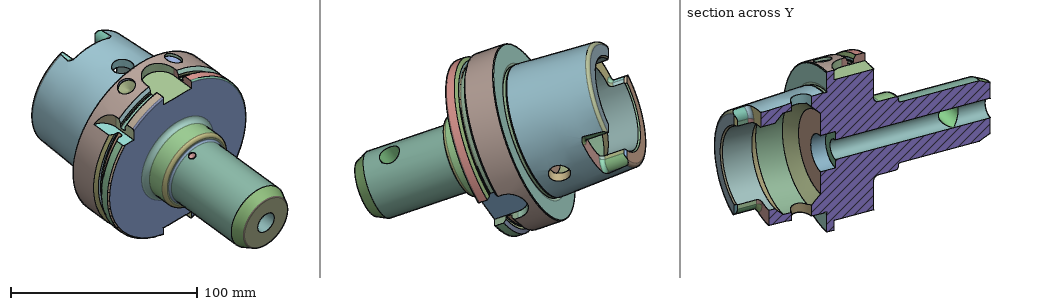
import cadquery as cq
import math

TOTAL_LENGTH = 150.0

FLANGE_START = TOTAL_LENGTH / 3
SHANK_MOUTH_RADIUS = 35.4
SHANK_BASE_RADIUS = 37.72
SHANK_TAPER_END = 48.0
MOUTH_OUTER_FILLET = 2.0

UNDERCUT_START = 48.8
UNDERCUT_RADIUS = 37.4
UNDERCUT_FACE_RADIUS = 38.8
UNDERCUT_FACE_DEPTH = 0.5

FLANGE_RADIUS = 100.0 / 2
FLANGE_END = FLANGE_START + 29.0
FLANGE_FRONT_CHAMFER = 0.5
FLANGE_REAR_FILLET = 0.9
GROOVE_CENTER = 70.2
GROOVE_MOUTH_WIDTH = 6.3
GROOVE_FLOOR_WIDTH = 3.5
GROOVE_SHOULDER_RADIUS = 47.8
GROOVE_FLOOR_RADIUS = 45.9
GROOVE_FLOOR_FILLET = 0.5

COLLAR_RADIUS = 46.0 / 2
COLLAR_END = 94.0
COLLAR_ROOT_FILLET = 3.0
COLLAR_EDGE_FILLET = 2.0
NOSE_RADIUS = 38.1 / 2
NOSE_ROOT_FILLET = 1.0
NOSE_CONE_LENGTH = 6.8
NOSE_TIP_RADIUS = 15.9
NOSE_TIP_FILLET = 0.6

BORE_RADIUS = 53.0 / 2
BORE_MOUTH_CHAMFER = 0.9
BORE_END = 18.8
CLAMP_RADIUS = 63.0 / 2
CLAMP_SHOULDER_ANGLE = 45.0
BORE_FLOOR = 46.5
FLOOR_RADIUS = 25.0

COOLANT_RECESS_DIAMETER = 22.4
COOLANT_RECESS_DEPTH = 9.0
COOLANT_DIAMETER = 12.0

SLOT_HALF_WIDTH = 30.0 / 3
UPPER_SLOT_DEPTH = 30.0 / 3
LOWER_SLOT_DEPTH = 15.0
SLOT_FLOOR_FILLET = 2.2
SLOT_FLARE_RADIUS = 15.0 / 3
SLOT_FLARE_START = 27.3
SLOT_MOUTH_CHAMFER = 1.4

CROSS_HOLE_X = 35.0
CROSS_HOLE_DIAMETER = 12.0

KEYWAY_RADIUS = 30.0 / 3
KEYWAY_ARC_X = 64.8
KEYWAY_FLOOR = 44.0
NOTCH_WALL_Y = -31.6
NOTCH_FLOOR = 31.4

DIMPLE_X = 56.8
DIMPLE_DIAMETER = 10.0
DIMPLE_DEPTH = 1.8
DIMPLE_ANGLE = 20.0

CLAMP_SCREW_X = 127.5
CLAMP_SCREW_DIAMETER = 12.0
BALANCE_HOLE_X = 97.8
BALANCE_HOLE_DIAMETER = 4.0
BALANCE_HOLE_DEPTH = 0.6
BALANCE_HOLE_ANGLE = 20.0

DRILL_TIP_ANGLE = 118.0


def revolve_about_x(points):
    """Revolve a closed (x, radius) outline about the X axis."""
    return cq.Workplane("XY").polyline(points).close().revolve(360, (0, 0, 0), (1, 0, 0))


def circle_edges(body, x, radius):
    """Select the circular edge around the X axis at the given place."""
    tolerance = 0.02

    def matches(edge):
        if edge.geomType() != "CIRCLE":
            return False
        return abs(edge.Center().x - x) < tolerance and abs(edge.radius() - radius) < tolerance

    return body.edges().filter(matches)


def make_turned_body():
    tip_cone_start = TOTAL_LENGTH - NOSE_CONE_LENGTH
    body = revolve_about_x([
        (0, 0),
        (0, SHANK_MOUTH_RADIUS),
        (SHANK_TAPER_END, SHANK_BASE_RADIUS),
        (UNDERCUT_START, UNDERCUT_RADIUS),
        (FLANGE_START + UNDERCUT_FACE_DEPTH, UNDERCUT_RADIUS),
        (FLANGE_START, UNDERCUT_FACE_RADIUS),
        (FLANGE_START, FLANGE_RADIUS),
        (FLANGE_END, FLANGE_RADIUS),
        (FLANGE_END, COLLAR_RADIUS),
        (COLLAR_END, COLLAR_RADIUS),
        (COLLAR_END, NOSE_RADIUS),
        (tip_cone_start, NOSE_RADIUS),
        (TOTAL_LENGTH, NOSE_TIP_RADIUS),
        (TOTAL_LENGTH, 0),
    ])
    body = circle_edges(body, FLANGE_START, FLANGE_RADIUS).chamfer(FLANGE_FRONT_CHAMFER)
    rounded_edges = [
        (0, SHANK_MOUTH_RADIUS, MOUTH_OUTER_FILLET),
        (FLANGE_END, FLANGE_RADIUS, FLANGE_REAR_FILLET),
        (FLANGE_END, COLLAR_RADIUS, COLLAR_ROOT_FILLET),
        (COLLAR_END, COLLAR_RADIUS, COLLAR_EDGE_FILLET),
        (COLLAR_END, NOSE_RADIUS, NOSE_ROOT_FILLET),
        (TOTAL_LENGTH, NOSE_TIP_RADIUS, NOSE_TIP_FILLET),
    ]
    for x, radius, fillet in rounded_edges:
        body = circle_edges(body, x, radius).fillet(fillet)
    return body


def make_gripper_groove():
    half_mouth = GROOVE_MOUTH_WIDTH / 2
    half_floor = GROOVE_FLOOR_WIDTH / 2
    groove = revolve_about_x([
        (GROOVE_CENTER - half_mouth, FLANGE_RADIUS),
        (GROOVE_CENTER - half_floor, GROOVE_SHOULDER_RADIUS),
        (GROOVE_CENTER - half_floor, GROOVE_FLOOR_RADIUS),
        (GROOVE_CENTER + half_floor, GROOVE_FLOOR_RADIUS),
        (GROOVE_CENTER + half_floor, GROOVE_SHOULDER_RADIUS),
        (GROOVE_CENTER + half_mouth, FLANGE_RADIUS),
    ])
    for x in (GROOVE_CENTER - half_floor, GROOVE_CENTER + half_floor):
        groove = circle_edges(groove, x, GROOVE_FLOOR_RADIUS).fillet(GROOVE_FLOOR_FILLET)
    return groove


def make_bore():
    shoulder_length = (CLAMP_RADIUS - BORE_RADIUS) / math.tan(math.radians(CLAMP_SHOULDER_ANGLE))
    floor_bevel = CLAMP_RADIUS - FLOOR_RADIUS
    recess_end = BORE_FLOOR + COOLANT_RECESS_DEPTH
    return revolve_about_x([
        (0, 0),
        (0, BORE_RADIUS + BORE_MOUTH_CHAMFER),
        (BORE_MOUTH_CHAMFER, BORE_RADIUS),
        (BORE_END, BORE_RADIUS),
        (BORE_END + shoulder_length, CLAMP_RADIUS),
        (BORE_FLOOR - floor_bevel, CLAMP_RADIUS),
        (BORE_FLOOR, FLOOR_RADIUS),
        (BORE_FLOOR, COOLANT_RECESS_DIAMETER / 2),
        (recess_end, COOLANT_RECESS_DIAMETER / 2),
        (recess_end, COOLANT_DIAMETER / 2),
        (TOTAL_LENGTH, COOLANT_DIAMETER / 2),
        (TOTAL_LENGTH, 0),
    ])


def make_drive_slot(depth):
    """Upward slot from the mouth: straight walls that flare outwards in a convex arc."""
    inner_z = BORE_RADIUS / 2
    outer_z = FLANGE_RADIUS
    flare_y = SLOT_HALF_WIDTH + SLOT_FLARE_RADIUS
    flare_z = SLOT_FLARE_START + SLOT_FLARE_RADIUS
    arc_offset = SLOT_FLARE_RADIUS * (1 - math.sqrt(0.5))
    arc_y = SLOT_HALF_WIDTH + arc_offset
    arc_z = flare_z - arc_offset
    outer_y = 2 * SLOT_HALF_WIDTH
    slot = (
        cq.Workplane("YZ")
        .moveTo(-SLOT_HALF_WIDTH, inner_z)
        .lineTo(SLOT_HALF_WIDTH, inner_z)
        .lineTo(SLOT_HALF_WIDTH, SLOT_FLARE_START)
        .threePointArc((arc_y, arc_z), (flare_y, flare_z))
        .lineTo(outer_y, flare_z)
        .lineTo(outer_y, outer_z)
        .lineTo(-outer_y, outer_z)
        .lineTo(-outer_y, flare_z)
        .lineTo(-flare_y, flare_z)
        .threePointArc((-arc_y, arc_z), (-SLOT_HALF_WIDTH, SLOT_FLARE_START))
        .close()
        .extrude(depth)
        .faces(">X").edges().fillet(SLOT_FLOOR_FILLET)
    )
    mouth_half_width = SLOT_HALF_WIDTH + SLOT_MOUTH_CHAMFER
    mouth = (
        cq.Workplane("XY", origin=(0, 0, inner_z))
        .polyline([
            (0, -mouth_half_width),
            (0, mouth_half_width),
            (SLOT_MOUTH_CHAMFER, SLOT_HALF_WIDTH),
            (SLOT_MOUTH_CHAMFER, -SLOT_HALF_WIDTH),
        ])
        .close()
        .extrude(outer_z - inner_z)
    )
    return slot.union(mouth)


def make_keyway(center_y, floor_z):
    """Round-ended slot, open at the nose side of the flange and above floor_z."""
    height = FLANGE_RADIUS - floor_z
    plane = cq.Workplane("XY", origin=(KEYWAY_ARC_X, center_y, floor_z))
    straight_length = FLANGE_END - KEYWAY_ARC_X
    straight = plane.rect(straight_length, 2 * KEYWAY_RADIUS).extrude(height)
    straight = straight.translate((straight_length / 2, 0, 0))
    return plane.circle(KEYWAY_RADIUS).extrude(height).union(straight)


def make_drilled_hole(x, rim_radius, diameter, depth, angle):
    """Cone-ended hole drilled towards the axis, turned by angle from +Z about the X axis."""
    radius = diameter / 2
    tip_length = radius / math.tan(math.radians(DRILL_TIP_ANGLE / 2))
    bottom = rim_radius - depth
    hole = (
        cq.Workplane("XZ")
        .polyline([
            (0, bottom - tip_length),
            (radius, bottom),
            (radius, rim_radius + diameter),
            (0, rim_radius + diameter),
        ])
        .close()
        .revolve(360, (0, 0, 0), (0, 1, 0))
    )
    return hole.translate((x, 0, 0)).rotate((0, 0, 0), (1, 0, 0), angle)


def flip_to_bottom(cutter):
    return cutter.rotate((0, 0, 0), (1, 0, 0), 180)


cross_hole = (
    cq.Workplane("XY")
    .center(CROSS_HOLE_X, 0)
    .circle(CROSS_HOLE_DIAMETER / 2)
    .extrude(FLANGE_RADIUS, both=True)
)
clamp_screw_hole = (
    cq.Workplane("XZ")
    .center(CLAMP_SCREW_X, 0)
    .circle(CLAMP_SCREW_DIAMETER / 2)
    .extrude(-FLANGE_RADIUS)
)
balance_hole = make_drilled_hole(
    BALANCE_HOLE_X, NOSE_RADIUS, BALANCE_HOLE_DIAMETER, BALANCE_HOLE_DEPTH, BALANCE_HOLE_ANGLE
)
notch_center_y = NOTCH_WALL_Y - KEYWAY_RADIUS

cutters = [
    make_gripper_groove(),
    make_bore(),
    make_drive_slot(UPPER_SLOT_DEPTH),
    flip_to_bottom(make_drive_slot(LOWER_SLOT_DEPTH)),
    cross_hole,
    make_keyway(0, KEYWAY_FLOOR),
    flip_to_bottom(make_keyway(0, KEYWAY_FLOOR)),
    make_keyway(notch_center_y, NOTCH_FLOOR),
    clamp_screw_hole,
    balance_hole,
]
for dimple_angle in (-DIMPLE_ANGLE, DIMPLE_ANGLE):
    cutters.append(make_drilled_hole(DIMPLE_X, FLANGE_RADIUS, DIMPLE_DIAMETER, DIMPLE_DEPTH, dimple_angle))

result = make_turned_body()
for cutter in cutters:
    result = result.cut(cutter)